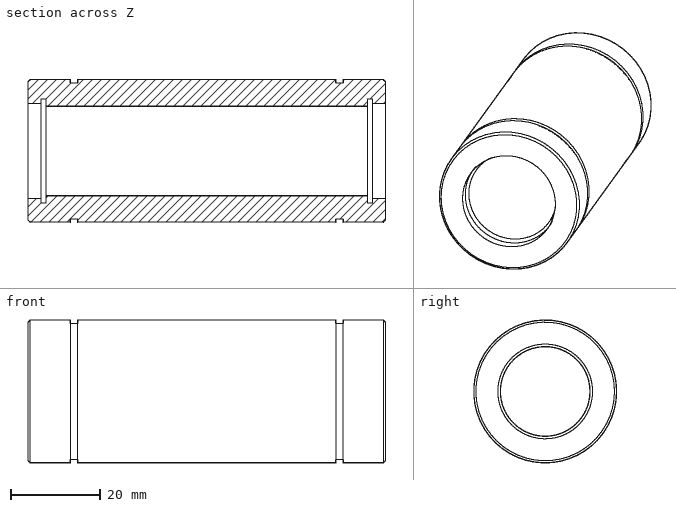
import cadquery as cq

length = 80.0
outer_diameter = 32.0
bore_diameter = 20.0
edge_chamfer = 0.5

ring_groove_diameter = 30.5
ring_groove_width = 1.6
ring_groove_span = 61.0

lip_diameter = 21.2
lip_length = 3.0
recess_diameter = 23.2
recess_width = 1.0


def cylinder(diameter, start, depth):
    """Solid cylinder along +X from the given X position."""
    return cq.Workplane("YZ", origin=(start, 0, 0)).circle(diameter / 2).extrude(depth)


def ring_groove(start):
    """Ring of material to remove from the outside."""
    blank = cylinder(outer_diameter, start, ring_groove_width)
    return blank.cut(cylinder(ring_groove_diameter, start, ring_groove_width))


def left_end_cuts():
    """Outer groove and stepped mouth at the -X end."""
    end = -length / 2
    lip = cylinder(lip_diameter, end, lip_length)
    recess = cylinder(recess_diameter, end + lip_length, recess_width)
    return [ring_groove(-ring_groove_span / 2), lip, recess]


body = cylinder(outer_diameter, -length / 2, length).edges().chamfer(edge_chamfer)
body = body.cut(cylinder(bore_diameter, -length / 2, length))

for cutter in left_end_cuts():
    body = body.cut(cutter).cut(cutter.mirror("YZ"))

result = body